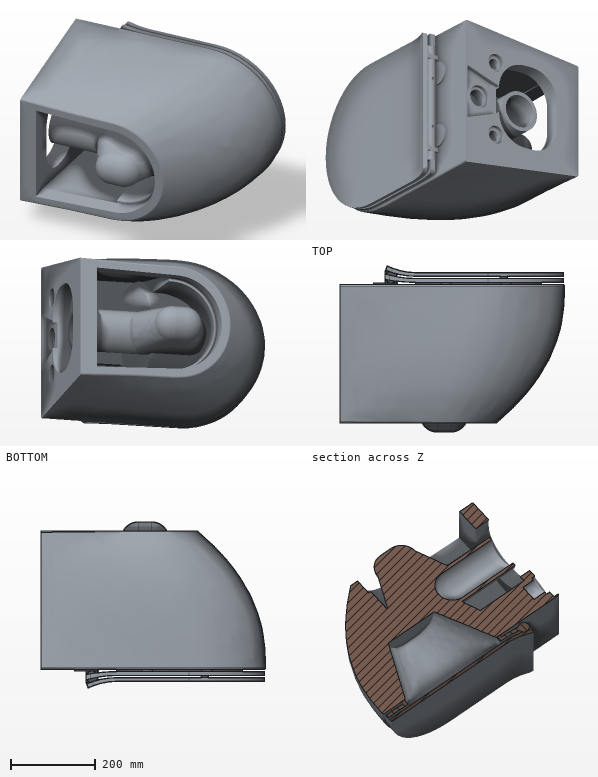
import cadquery as cq
import math


LENGTH = 535.0
BOWL_HEIGHT = 330.0
FOOT_REACH = 372.0
RIM_HALF_WIDTH = 184.5
FOOT_HALF_WIDTH = 135.0
BACK_TOP_HALF_WIDTH = 183.5
BACK_FOOT_HALF_WIDTH = 142.5
REACH_POWER = 2.4
WIDTH_POWER = 3.8
FRONT_CENTER_X = FOOT_REACH - FOOT_HALF_WIDTH
RIM_CENTER_X = LENGTH - RIM_HALF_WIDTH
SHELL_STATIONS = 9
SIDE_STEPS = 6
FRONT_STEPS = 12
EDGE_ROUND = 4.5

LIP_BACK_X = 40.5
LIP_BACK_HALF_WIDTH = 120.5
LIP_FRONT_RADIUS = 113.5
LIP_HEIGHT = 42.5
FRONT_CHAMBER_X = 233.0
FRONT_CHAMBER_RADIUS = 107.0
CEILING_Y = 305.0
CEILING_HALF_WIDTH = 155.0
CHANNEL_Y = 246.0
CHANNEL_HALF_WIDTH = 59.0
FLARE_Y = 267.5
CHANNEL_FLARE_X = 117.0
CHANNEL_END_X = 200.5
CHANNEL_END_HALF_WIDTH = 113.5

RIDGE_X = 220.0
HULL_BOTTOM_Y = 131.0
HULL_SIDE_Y = 174.0
HULL_SIDE_Z = 104.5
HULL_TOP_REAR_X = 149.0
HULL_HALF_WIDTH = 171.0
HULL_TOP_CORNER_X = 246.0
HULL_FRONT_X = 385.5
BASIN_FLOOR_Y = 182.0
BASIN_FLOOR_REAR_X = 262.0
BASIN_FLOOR_FRONT_X = 401.5
BASIN_FLOOR_HALF_WIDTH = 59.0
MOUTH_HALF_WIDTH = 115.0

PIPE_Y = 150.5
PIPE_RADIUS = 50.5
PIPE_BORE_RADIUS = 40.5
PIPE_START_X = 29.5
PIPE_END_X = 182.0
TRAP_BOTTOM_Y = -21.5
TRAP_RADIUS = 41.0
TRAP_REAR_X = 191.0
TRAP_FRONT_X = 305.0
NECK_REAR_X = 134.0
NECK_FRONT_X = 364.0
NECK_RADIUS = 50.0

OVAL_CENTER_Y = 147.0
OVAL_HEIGHT = 170.0
OVAL_WIDTH = 212.0
OVAL_CORNER = 75.0
PANEL_TOP_Y = 325.5
PANEL_TOP_HALF_WIDTH = 67.5
PANEL_BOTTOM_HALF_WIDTH = 35.0
PANEL_DEPTH = 12.0
STUD_Y = 241.0
STUD_Z = 92.5
STUD_RADIUS = 13.5
STUD_SINK_RADIUS = 22.5
INLET_Y = 281.0
INLET_RADIUS = 21.0
INLET_SINK_RADIUS = 28.0
INLET_DEPTH = 53.5
SINK_DEPTH = 9.5
SEAT_BOLT_X = 100.0
SEAT_BOLT_Z = 82.0
SEAT_BOLT_RADIUS = 7.5

COVER_END_X = 532.5
COVER_HALF_WIDTH = 180.5
COVER_CENTER_X = COVER_END_X - COVER_HALF_WIDTH
SEAT_BOTTOM_Y = 335.0
SEAT_TOP_Y = 344.5
SEAT_REAR_X = 107.0
SEAT_HEEL_BOTTOM_Y = 342.5
SEAT_HEEL_TOP_Y = 355.5
SEAT_CORNER = 10.5
LID_BOTTOM_Y = 349.5
LID_TOP_Y = 358.5
LID_HEEL_BOTTOM_Y = 364.0
LID_PEAK_X = 112.5
LID_PEAK_Y = 374.5
LID_REAR_X = 109.0
LID_CORNER = 15.5
BEND_X = 180.0
SEAT_LIP_RADIUS = 128.5
SEAT_LIP_WALL = 10.5
HINGE_X = 121.5
HINGE_Y = 348.0
BARREL_RADIUS = 14.0
BARREL_HALF_LENGTH = 147.0
COLLAR_INNER_Z = 113.5
COLLAR_WIDTH = 10.5
COLLAR_LENGTH = 29.0
COLLAR_BOTTOM_Y = 334.0
COLLAR_TOP_Y = 362.0
SCREW_Z = 62.0
SCREW_RADIUS = 4.5
SCREW_DEPTH = 5.5
PAD_X = 108.5
PAD_Z = 80.5
PAD_RADIUS = 28.5
PAD_HEIGHT = 4.0
BUMPER_RADIUS = 13.0
LID_BUMPER_RADIUS = 8.5
FRONT_BUMPER_X = 395.5
FRONT_BUMPER_Z = 149.0
REAR_BUMPER_X = 253.0
REAR_BUMPER_Z = 158.0
LID_BUMPER_X = 390.0


def level(y):
    """Horizontal workplane at height y; local axes are X and Z, and extrude(-h) goes up."""
    return cq.Workplane("XZ", origin=(0, y, 0))


def back_face(x=0.0):
    """Workplane parallel to the wall; local axes are Y and Z, and extrude goes along +X."""
    return cq.Workplane("YZ", origin=(x, 0, 0))


def slot_outline(y, rear, front, half_width):
    """Round-ended outline along X at height y."""
    return level(y).center((rear + front) / 2, 0).slot2D(front - rear, 2 * half_width)


def slot_loft(lower, upper):
    """Loft between two round-ended outlines, each given as (y, rear, front, half width)."""
    wires = [slot_outline(*outline).wires().val() for outline in (lower, upper)]
    return cq.Workplane(cq.Solid.makeLoft(wires))


def u_outline(y, rear, center, rear_half_width, radius):
    """Outline with a straight rear edge, straight sides and a half-round front."""
    return (
        level(y)
        .moveTo(rear, -rear_half_width)
        .lineTo(center, -radius)
        .threePointArc((center + radius, 0), (center, radius))
        .lineTo(rear, rear_half_width)
        .close()
    )


def shell_section(y):
    """Outer outline of the bowl at height y: curved sides, half-elliptical front, straight back."""
    depth = 1 - y / BOWL_HEIGHT
    reach = LENGTH - (LENGTH - FOOT_REACH) * depth ** REACH_POWER
    half_width = RIM_HALF_WIDTH - (RIM_HALF_WIDTH - FOOT_HALF_WIDTH) * depth ** WIDTH_POWER
    back = BACK_TOP_HALF_WIDTH - (BACK_TOP_HALF_WIDTH - BACK_FOOT_HALF_WIDTH) * depth
    center = RIM_CENTER_X - (RIM_CENTER_X - FRONT_CENTER_X) * depth
    left_side = [
        (center * i / SIDE_STEPS, half_width - (half_width - back) * (1 - i / SIDE_STEPS) ** 2)
        for i in range(SIDE_STEPS)
    ]
    front = []
    for i in range(FRONT_STEPS + 1):
        angle = math.pi * i / FRONT_STEPS
        front.append((center + (reach - center) * math.sin(angle), half_width * math.cos(angle)))
    right_side = [(x, -z) for x, z in reversed(left_side)]
    points = [cq.Vector(x, y, z) for x, z in left_side + front + right_side]
    edges = [cq.Edge.makeSpline(points), cq.Edge.makeLine(points[-1], points[0])]
    return cq.Wire.assembleEdges(edges)


def make_shell():
    step = BOWL_HEIGHT / (SHELL_STATIONS - 1)
    sections = [shell_section(i * step) for i in range(SHELL_STATIONS)]
    shell = cq.Workplane(cq.Solid.makeLoft(sections))
    rounded_edges = shell.faces("<Y or >Y").edges("not <X")
    return rounded_edges.fillet(EDGE_ROUND)


def make_hull():
    """Underside of the basin: a trough with a rear face that leans back from the ridge."""
    lower = (
        level(HULL_BOTTOM_Y)
        .moveTo(RIDGE_X, HULL_HALF_WIDTH)
        .lineTo(RIDGE_X, -HULL_HALF_WIDTH)
        .lineTo(HULL_FRONT_X, -HULL_HALF_WIDTH)
        .lineTo(HULL_FRONT_X, HULL_HALF_WIDTH)
        .close()
        .wires().val()
    )
    upper = (
        level(CEILING_Y)
        .moveTo(HULL_TOP_CORNER_X, HULL_HALF_WIDTH)
        .threePointArc((HULL_TOP_REAR_X, 0), (HULL_TOP_CORNER_X, -HULL_HALF_WIDTH))
        .lineTo(HULL_FRONT_X, -HULL_HALF_WIDTH)
        .lineTo(HULL_FRONT_X, HULL_HALF_WIDTH)
        .close()
        .wires().val()
    )
    leaning_block = cq.Workplane(cq.Solid.makeLoft([lower, upper], True))
    trough = (
        back_face()
        .moveTo(HULL_SIDE_Y, -HULL_SIDE_Z)
        .threePointArc((HULL_BOTTOM_Y, 0), (HULL_SIDE_Y, HULL_SIDE_Z))
        .lineTo(BOWL_HEIGHT, RIM_HALF_WIDTH)
        .lineTo(BOWL_HEIGHT, -RIM_HALF_WIDTH)
        .close()
        .extrude(HULL_FRONT_X)
    )
    return leaning_block.intersect(trough)


def make_channel():
    """Water channel along the middle of the deck, under a step that flares towards the basin."""
    channel = level(CHANNEL_Y).moveTo(CHANNEL_END_X / 2, 0).rect(CHANNEL_END_X, 2 * CHANNEL_HALF_WIDTH)
    flare = (
        level(FLARE_Y)
        .moveTo(CHANNEL_FLARE_X, -CHANNEL_HALF_WIDTH)
        .lineTo(CHANNEL_END_X, -CHANNEL_END_HALF_WIDTH)
        .lineTo(CHANNEL_END_X, CHANNEL_END_HALF_WIDTH)
        .lineTo(CHANNEL_FLARE_X, CHANNEL_HALF_WIDTH)
        .close()
    )
    return channel.extrude(CHANNEL_Y - BOWL_HEIGHT).union(flare.extrude(FLARE_Y - BOWL_HEIGHT))


def make_underside_hollow():
    opening = u_outline(
        0, LIP_BACK_X, FRONT_CENTER_X, LIP_BACK_HALF_WIDTH, LIP_FRONT_RADIUS
    ).extrude(-LIP_HEIGHT)
    rear_chamber = (
        back_face(LIP_BACK_X)
        .moveTo(LIP_HEIGHT, -LIP_BACK_HALF_WIDTH)
        .lineTo(LIP_HEIGHT, LIP_BACK_HALF_WIDTH)
        .lineTo(CEILING_Y, CEILING_HALF_WIDTH)
        .lineTo(CEILING_Y, -CEILING_HALF_WIDTH)
        .close()
        .extrude(FRONT_CHAMBER_X - LIP_BACK_X)
    )
    front_chamber = u_outline(
        LIP_HEIGHT, FRONT_CHAMBER_X, FRONT_CENTER_X, FRONT_CHAMBER_RADIUS, FRONT_CHAMBER_RADIUS
    ).extrude(LIP_HEIGHT - CHANNEL_Y)
    hollow = opening.union(rear_chamber).union(front_chamber)
    return hollow.cut(make_hull()).cut(make_channel())


def make_trap():
    """Outlet pipe along X joined to the drooping, round-bottomed trap."""
    axis_y = TRAP_BOTTOM_Y + TRAP_RADIUS
    rear_x = TRAP_REAR_X + TRAP_RADIUS
    front_x = TRAP_FRONT_X - TRAP_RADIUS
    pipe = back_face(PIPE_START_X).center(PIPE_Y, 0).circle(PIPE_RADIUS).extrude(RIDGE_X - PIPE_START_X)
    neck = slot_loft(
        (axis_y, TRAP_REAR_X, TRAP_FRONT_X, TRAP_RADIUS),
        (PIPE_Y, NECK_REAR_X, NECK_FRONT_X, NECK_RADIUS),
    )
    bottom = back_face(rear_x).center(axis_y, 0).circle(TRAP_RADIUS).extrude(front_x - rear_x)
    trap = pipe.union(neck).union(bottom)
    for x in (rear_x, front_x):
        trap = trap.union(cq.Workplane("XY", origin=(x, axis_y, 0)).sphere(TRAP_RADIUS))
    return trap


def make_pipe_bore():
    mouth = back_face(PIPE_START_X).center(PIPE_Y, 0).circle(PIPE_BORE_RADIUS)
    bore = mouth.extrude(PIPE_END_X - PIPE_START_X)
    end = cq.Workplane("XY", origin=(PIPE_END_X, PIPE_Y, 0)).sphere(PIPE_BORE_RADIUS)
    return bore.union(end)


def make_basin():
    return slot_loft(
        (BASIN_FLOOR_Y, BASIN_FLOOR_REAR_X, BASIN_FLOOR_FRONT_X, BASIN_FLOOR_HALF_WIDTH),
        (BOWL_HEIGHT, BEND_X + SEAT_LIP_WALL, COVER_CENTER_X + MOUTH_HALF_WIDTH, MOUTH_HALF_WIDTH),
    )


def cut_back_openings(bowl):
    oval_bottom = OVAL_CENTER_Y + OVAL_HEIGHT / 2
    oval = (
        back_face().center(OVAL_CENTER_Y, 0).rect(OVAL_HEIGHT, OVAL_WIDTH).extrude(LIP_BACK_X)
        .edges("|X").fillet(OVAL_CORNER)
    )
    panel = (
        back_face()
        .moveTo(PANEL_TOP_Y, -PANEL_TOP_HALF_WIDTH)
        .lineTo(PANEL_TOP_Y, PANEL_TOP_HALF_WIDTH)
        .lineTo(oval_bottom, PANEL_BOTTOM_HALF_WIDTH)
        .lineTo(oval_bottom, -PANEL_BOTTOM_HALF_WIDTH)
        .close()
        .extrude(PANEL_DEPTH)
    )
    studs = back_face().pushPoints([(STUD_Y, STUD_Z), (STUD_Y, -STUD_Z)])
    stud_holes = studs.circle(STUD_RADIUS).extrude(LIP_BACK_X)
    stud_sinks = studs.circle(STUD_SINK_RADIUS).extrude(SINK_DEPTH)
    inlet = back_face().center(INLET_Y, 0)
    inlet_hole = inlet.circle(INLET_RADIUS).extrude(INLET_DEPTH)
    inlet_sink = inlet.circle(INLET_SINK_RADIUS).extrude(PANEL_DEPTH + SINK_DEPTH)
    for opening in (oval, panel, stud_holes, stud_sinks, inlet_hole, inlet_sink):
        bowl = bowl.cut(opening)
    return bowl


def make_bowl():
    bowl = make_shell().cut(make_underside_hollow())
    bowl = cut_back_openings(bowl)
    bowl = bowl.union(make_trap()).cut(make_pipe_bore()).cut(make_basin())
    seat_bolts = level(CEILING_Y).pushPoints([(SEAT_BOLT_X, SEAT_BOLT_Z), (SEAT_BOLT_X, -SEAT_BOLT_Z)])
    return bowl.cut(seat_bolts.circle(SEAT_BOLT_RADIUS).extrude(CEILING_Y - BOWL_HEIGHT))


def cover_plan(rear, corner):
    """Plan shape shared by the seat and the lid, as a tall block."""
    return (
        u_outline(BOWL_HEIGHT, rear, COVER_CENTER_X, COVER_HALF_WIDTH, COVER_HALF_WIDTH)
        .extrude(BOWL_HEIGHT - LID_PEAK_Y)
        .edges("|Y and <X").fillet(corner)
    )


def heel_middle(flat_y, rear_x, rear_y):
    """Middle of a heel arc that leaves the flat part level and reaches a quarter of its rise halfway."""
    return (BEND_X + rear_x) / 2, flat_y + (rear_y - flat_y) / 4


def side_profile(bottom_y, rear_bottom, top_y, rear_top):
    """Flat plate with a heel that curves up towards the hinge, extruded across the full width."""
    return (
        cq.Workplane("XY")
        .moveTo(COVER_END_X, bottom_y)
        .lineTo(BEND_X, bottom_y)
        .threePointArc(heel_middle(bottom_y, *rear_bottom), rear_bottom)
        .lineTo(*rear_top)
        .threePointArc(heel_middle(top_y, *rear_top), (BEND_X, top_y))
        .lineTo(COVER_END_X, top_y)
        .close()
        .extrude(COVER_HALF_WIDTH, both=True)
    )


def make_barrel():
    """Hinge barrel along Z at the rear of the seat."""
    axis = cq.Workplane("XY", origin=(HINGE_X, HINGE_Y, 0))
    return axis.circle(BARREL_RADIUS).extrude(BARREL_HALF_LENGTH, both=True)


def make_collar(side):
    """Hinge plate standing in a slot of the barrel; side is +1 or -1."""
    return (
        cq.Workplane("XY")
        .box(COLLAR_LENGTH, COLLAR_TOP_Y - COLLAR_BOTTOM_Y, COLLAR_WIDTH)
        .translate((
            HINGE_X,
            (COLLAR_TOP_Y + COLLAR_BOTTOM_Y) / 2,
            side * (COLLAR_INNER_Z + COLLAR_WIDTH / 2),
        ))
    )


def make_seat():
    rear_bottom = (SEAT_REAR_X, SEAT_HEEL_BOTTOM_Y)
    rear_top = (SEAT_REAR_X, SEAT_HEEL_TOP_Y)
    plate = side_profile(SEAT_BOTTOM_Y, rear_bottom, SEAT_TOP_Y, rear_top)
    seat = plate.intersect(cover_plan(SEAT_REAR_X, SEAT_CORNER))
    lip_front = COVER_CENTER_X + SEAT_LIP_RADIUS
    lip = slot_outline(BOWL_HEIGHT, BEND_X, lip_front, SEAT_LIP_RADIUS).extrude(BOWL_HEIGHT - SEAT_TOP_Y)
    opening = slot_outline(
        BOWL_HEIGHT, BEND_X + SEAT_LIP_WALL, lip_front - SEAT_LIP_WALL, SEAT_LIP_RADIUS - SEAT_LIP_WALL
    ).extrude(BOWL_HEIGHT - LID_BOTTOM_Y)
    bumpers = level(BOWL_HEIGHT).pushPoints([
        (x, side * z)
        for x, z in ((FRONT_BUMPER_X, FRONT_BUMPER_Z), (REAR_BUMPER_X, REAR_BUMPER_Z))
        for side in (1, -1)
    ]).circle(BUMPER_RADIUS).extrude(BOWL_HEIGHT - SEAT_TOP_Y)
    barrel = make_barrel()
    barrel_gap = (
        level(BOWL_HEIGHT)
        .moveTo(SEAT_REAR_X, 0)
        .rect(2 * (HINGE_X - SEAT_REAR_X), 2 * BARREL_HALF_LENGTH)
        .extrude(BOWL_HEIGHT - LID_PEAK_Y)
    )
    seat = seat.cut(barrel_gap).union(lip).union(bumpers).union(barrel).cut(opening)
    screw_holes = (
        back_face(HINGE_X - BARREL_RADIUS)
        .pushPoints([(HINGE_Y, SCREW_Z), (HINGE_Y, -SCREW_Z)])
        .circle(SCREW_RADIUS).extrude(SCREW_DEPTH)
    )
    seat = seat.cut(screw_holes)
    for side in (1, -1):
        seat = seat.cut(make_collar(side))
    return seat


def make_lid():
    rear_bottom = (LID_REAR_X, LID_HEEL_BOTTOM_Y)
    rear_top = (LID_PEAK_X, LID_PEAK_Y)
    plate = side_profile(LID_BOTTOM_Y, rear_bottom, LID_TOP_Y, rear_top)
    lid = plate.intersect(cover_plan(LID_REAR_X, LID_CORNER))
    bumpers = (
        level(SEAT_TOP_Y)
        .pushPoints([(LID_BUMPER_X, FRONT_BUMPER_Z), (LID_BUMPER_X, -FRONT_BUMPER_Z)])
        .circle(LID_BUMPER_RADIUS).extrude(SEAT_TOP_Y - LID_TOP_Y)
    )
    lid = lid.union(bumpers)
    lid = lid.cut(make_barrel())
    for side in (1, -1):
        lid = lid.cut(make_collar(side))
    return lid


def make_hinge_pad(side):
    """Round foot of the hinge on the rim; side is +1 or -1."""
    return level(BOWL_HEIGHT).center(PAD_X, side * PAD_Z).circle(PAD_RADIUS).extrude(-PAD_HEIGHT)


bowl = make_bowl()
seat = make_seat()
lid = make_lid()
collars = [make_collar(side) for side in (1, -1)]
hinge_pads = [make_hinge_pad(side) for side in (1, -1)]

result = cq.Compound.makeCompound([
    bowl.solids().val(),
    seat.solids().val(),
    lid.solids().val(),
    *[collar.val() for collar in collars],
    *[pad.val() for pad in hinge_pads],
])